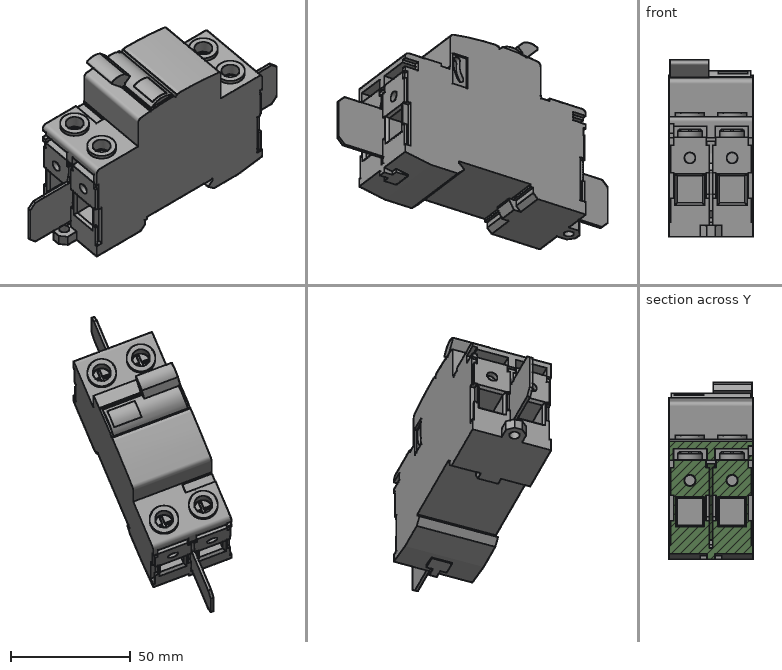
import cadquery as cq
import math


width = 35.2
half_width = width / 2
pole_x = width / 4
pole_centres = (-pole_x, pole_x)
body_y = 45.0
shoulder_z = 50.1
crown_y = 22.5
crown_z = 67.5
crown_edge_z = 65.7
corner_radius = 2.0

rail_z = 6.0
rear_rail_y = 18.1
rear_hook_root_z = 5.2
rear_hook_tip = (15.5, 2.8)
rear_foot_y = 18.8
rear_slope_y = 32.0
rear_slope_z = 2.3
front_rail_y = -17.5
front_foot_y = -18.8
front_foot_chamfer = 2.3

clip_width = 9.1
clip_z = 4.8
clip_hook_y = -15.3
clip_hook_tip_z = 4.0
clip_hook_foot_y = -17.7
lug_length = 7.4
lug_tip_width = 3.4
lug_chamfer_length = 2.5
lug_hole_diameter = 4.3
lug_hole_offset = 3.0
pad_length = 10.0
pad_tip_length = 4.0

rotor_width = 33.4
rotor_y = -8.6
rotor_radius = 7.9
rotor_top_z = 69.4
rotor_z = rotor_top_z - rotor_radius
rear_groove = (-1.3, -2.1, -3.5)
rear_groove_lip = (0.1, 67.1)
front_groove = (-14.5, -15.7, -16.1)
groove_floor_z = 66.2
lever_x = (-17.2, -1.0)
lever_root_front = (-14.0, 64.6)
lever_root_rear = (-14.0, 67.8)
lever_rear = (-11.4, 70.4)
lever_top_rear = (-14.2, 73.2)
lever_crown = (-17.4, 74.0)
lever_top_front = (-20.6, 73.2)
lever_nose = (-21.3, 72.5)
lever_front = (-21.0, 71.7)
label_x = (3.0, 15.3)
label_y = (-12.7, -5.0)
label_depth = 0.1

screw_y = 35.0
collar_radius = 6.0
collar_height = 1.6
bore_radius = 3.8
well_z = (41.5, 46.1)
well_inner_x = 1.7
side_margin = 2.0
well_outer_x = half_width - side_margin
well_back_y = 29.5
screw_head_radius = 5.1
screw_head_height = 3.4
screw_head_chamfer = 0.8
cross_width = 1.1
cross_depth = 1.3

notch_z = (43.3, 47.3)
notch_length = 6.4
marker_y = (22.8, 27.0)
marker_width = 13.4
marker_depth = 1.2
panel_y = (14.0, 21.3)
panel_z = (42.3, 57.0)
panel_depth = 1.0
slot_centre = (7.5, 52.7)
slot_radius = 11.3
slot_width = 3.0
slot_angles = (-34, 11)
slot_depth = 2.7

entry_z = (14.2, 25.5)
entry_width = 10.6
entry_bevel = 1.0
entry_bevel_depth = 1.3
entry_depth = 13.4
plate_hole_diameter = 4.5
plate_hole_z = 33.0
plate_hole_depth = 2.4

groove_width = 1.3
flank_groove_width = 0.8
wide_groove_width = 2 * side_margin
lip_thickness = 1.2
wide_groove_depth = 2.8
lower_lip_z = 16.2
plate_z = 26.7
head_z = 38.3
groove_top_z = 41.3

barrier_tip_y = 67.0
barrier_z = (8.0, 30.7)
barrier_chamfer = 2.8
barrier_ramp_length = 0.8
barrier_ramp_z = 34.7
barrier_head_z = 39.9
barrier_head_width = 3.5
barrier_flange_z = 17.8


def block(x, y, z):
    """Box between the two limits given on each axis."""
    size = [abs(limits[1] - limits[0]) for limits in (x, y, z)]
    corner = (min(x), min(y), min(z))
    return cq.Workplane("XY").box(*size, centered=False).translate(corner)


def across(span):
    """Limits of a span centred on X = 0."""
    return (-span / 2, span / 2)


def prism_x(points, x):
    """Prism with a closed (Y, Z) outline between two X limits."""
    return cq.Workplane("YZ", origin=(min(x), 0, 0)).polyline(points).close().extrude(max(x) - min(x))


def upright_cylinder(x, y, radius, z):
    return cq.Workplane("XY", origin=(x, y, z[0])).circle(radius).extrude(z[1] - z[0])


def both_ends(front):
    """Front-end shape together with its mirror image at the rear end."""
    return front.union(front.mirror("XZ"))


def make_shell():
    """Side profile with stepped shoulders, a crowned top and the rail recess."""
    shell = (
        cq.Workplane("YZ", origin=(-half_width, 0, 0))
        .moveTo(body_y, rear_slope_z)
        .lineTo(body_y, shoulder_z)
        .lineTo(crown_y, shoulder_z)
        .lineTo(crown_y, crown_edge_z)
        .threePointArc((0, crown_z), (-crown_y, crown_edge_z))
        .lineTo(-crown_y, shoulder_z)
        .lineTo(-body_y, shoulder_z)
        .lineTo(-body_y, 0)
        .lineTo(front_foot_y - front_foot_chamfer, 0)
        .lineTo(front_foot_y, front_foot_chamfer)
        .lineTo(front_foot_y, clip_z)
        .lineTo(front_rail_y, clip_z)
        .lineTo(front_rail_y, rail_z)
        .lineTo(rear_rail_y, rail_z)
        .lineTo(rear_rail_y, rear_hook_root_z)
        .lineTo(*rear_hook_tip)
        .lineTo(rear_foot_y, 0)
        .lineTo(rear_slope_y, 0)
        .close()
        .extrude(width)
    )
    reach = corner_radius / 2
    for y, z in ((body_y, shoulder_z), (crown_y, crown_edge_z)):
        for side in (-1, 1):
            corner = cq.selectors.BoxSelector(
                (-half_width, side * y - reach, z - reach),
                (half_width, side * y + reach, z + reach),
            )
            shell = shell.edges("|X").edges(corner).fillet(corner_radius)
    return shell


def make_crown_grooves():
    """V-shaped grooves along the rear and front of the rotor, the rear one with a sloping lip."""
    grooves = cq.Workplane("XY")
    for rear, bottom, front in (rear_groove, front_groove):
        points = [(rear, crown_z), (bottom, groove_floor_z), (front, crown_z)]
        grooves = grooves.union(prism_x(points, across(width)))
    lip_y, lip_foot_z = rear_groove_lip
    lip_points = [(lip_y, crown_z), (rear_groove[0], lip_foot_z), (rear_groove[1], crown_z)]
    return grooves.union(prism_x(lip_points, across(width)))


def make_clip():
    """Hook under the rail recess, pull lug at the front and stepped pad at the rear."""
    hook = prism_x(
        [
            (front_foot_y - front_foot_chamfer, 0),
            (clip_hook_foot_y, 0),
            (clip_hook_y, clip_hook_tip_z),
            (clip_hook_y, clip_z),
            (front_foot_y - front_foot_chamfer, clip_z),
        ],
        across(clip_width),
    )
    lug_front_y = -body_y - lug_length
    lug = (
        cq.Workplane("XY")
        .moveTo(-clip_width / 2, -body_y)
        .lineTo(-clip_width / 2, lug_front_y + lug_chamfer_length)
        .lineTo(-lug_tip_width / 2, lug_front_y)
        .lineTo(lug_tip_width / 2, lug_front_y)
        .lineTo(clip_width / 2, lug_front_y + lug_chamfer_length)
        .lineTo(clip_width / 2, -body_y)
        .close()
        .extrude(clip_z)
        .cut(upright_cylinder(0, -body_y - lug_hole_offset, lug_hole_diameter / 2, (0, clip_z)))
    )
    step_y = body_y - pad_tip_length
    pad_body = block(across(clip_width), (body_y - pad_length, step_y), (0, rear_slope_z))
    pad_tip = block(across(lug_tip_width), (step_y, body_y), (0, rear_slope_z))
    return hook.union(lug).union(pad_body).union(pad_tip)


def rotor_cylinder(radius, x):
    return (
        cq.Workplane("YZ", origin=(min(x), 0, 0))
        .center(rotor_y, rotor_z)
        .circle(radius)
        .extrude(max(x) - min(x))
    )


def make_rotor():
    """Rotor rising out of the crown, with a shallow label panel let into its surface."""
    rotor = rotor_cylinder(rotor_radius, across(rotor_width))
    panel = block(label_x, label_y, (rotor_z, rotor_top_z))
    panel = panel.cut(rotor_cylinder(rotor_radius - label_depth, label_x))
    return rotor.cut(panel)


def make_lever():
    """Lever leaning toward the front at 45 degrees, rooted in the rotor."""
    return (
        cq.Workplane("YZ", origin=(lever_x[0], 0, 0))
        .moveTo(*lever_root_front)
        .lineTo(*lever_root_rear)
        .lineTo(*lever_rear)
        .lineTo(*lever_top_rear)
        .threePointArc(lever_crown, lever_top_front)
        .threePointArc(lever_nose, lever_front)
        .close()
        .extrude(lever_x[1] - lever_x[0])
    )


def make_collars():
    """Raised collar around each screw well of the front end."""
    collars = cq.Workplane("XY")
    for x in pole_centres:
        collars = collars.add(
            upright_cylinder(x, -screw_y, collar_radius, (shoulder_z, shoulder_z + collar_height))
        )
    return collars.combine()


def make_screw_wells():
    """Front window and access bore of each pole at the front end."""
    wells = cq.Workplane("XY")
    for x in pole_centres:
        side = math.copysign(1, x)
        window = block((side * well_inner_x, side * well_outer_x), (-body_y, -well_back_y), well_z)
        bore = upright_cylinder(x, -screw_y, bore_radius, (well_z[0], shoulder_z + collar_height))
        wells = wells.union(window).union(bore)
    return wells


def make_screw_head(x):
    """Chamfered screw head with a cross slot, standing on the floor of its well."""
    top_z = well_z[0] + screw_head_height
    head = upright_cylinder(x, -screw_y, screw_head_radius, (well_z[0], top_z))
    head = head.faces(">Z").chamfer(screw_head_chamfer)
    cross = (
        cq.Workplane("XY", origin=(x, -screw_y, top_z))
        .rect(2 * bore_radius, cross_width)
        .extrude(-cross_depth)
        .union(
            cq.Workplane("XY", origin=(x, -screw_y, top_z))
            .rect(cross_width, 2 * bore_radius)
            .extrude(-cross_depth)
        )
    )
    return head.cut(cross)


def make_end_pockets():
    """Flank notch and shoulder marker pocket of the front end, both open to -X."""
    notch = block((-half_width, side_margin - half_width), (-body_y, notch_length - body_y), notch_z)
    marker = block(
        (-half_width, marker_width - half_width),
        (-marker_y[1], -marker_y[0]),
        (shoulder_z - marker_depth, shoulder_z),
    )
    return notch.union(marker)


def make_wire_entry(x):
    """Bevelled rectangular wire entry and the small round hole in the plate above it."""
    height = entry_z[1] - entry_z[0]
    middle_z = sum(entry_z) / 2
    face = cq.Workplane("XZ", origin=(x, -body_y, middle_z))
    entry = face.rect(entry_width, height).extrude(-entry_depth)
    bevel = (
        face.rect(entry_width + 2 * entry_bevel, height + 2 * entry_bevel)
        .workplane(offset=-entry_bevel_depth)
        .rect(entry_width, height)
        .loft(combine=True)
    )
    hole = (
        cq.Workplane("XZ", origin=(x, -body_y, plate_hole_z))
        .circle(plate_hole_diameter / 2)
        .extrude(-plate_hole_depth)
    )
    return entry.union(bevel).union(hole)


def make_barrier_groove(x, slit_width, bottom_z):
    """Stepped groove for a barrier: a slit with a wide head, and a wide lower part behind its lips."""
    slit = (x - slit_width / 2, x + slit_width / 2)
    wide = (x - wide_groove_width / 2, x + wide_groove_width / 2)
    lip_y = lip_thickness - body_y
    back_y = wide_groove_depth - body_y
    upper_slit = block(slit, (-body_y, lip_y), (bottom_z, groove_top_z))
    head = block(wide, (-body_y, lip_y), (head_z, groove_top_z))
    open_part = block(wide, (-body_y, back_y), (lower_lip_z, plate_z))
    lower_part = block(wide, (lip_y, back_y), (rail_z, lower_lip_z))
    return upper_slit.union(head).union(open_part).union(lower_part)


def make_side_panel():
    """Shallow rectangular recess with a deeper curved slot in the -X flank."""
    panel_x = (-half_width, panel_depth - half_width)
    panel = block(panel_x, panel_y, panel_z)

    def polar(radius, degrees):
        angle = math.radians(degrees)
        return (slot_centre[0] + radius * math.cos(angle), slot_centre[1] + radius * math.sin(angle))

    start, end = slot_angles
    middle = (start + end) / 2
    inner = slot_radius - slot_width / 2
    outer = slot_radius + slot_width / 2
    end_bulge = math.degrees(slot_width / 2 / slot_radius)
    slot = (
        cq.Workplane("YZ", origin=(-half_width, 0, 0))
        .moveTo(*polar(outer, start))
        .threePointArc(polar(outer, middle), polar(outer, end))
        .threePointArc(polar(slot_radius, end + end_bulge), polar(inner, end))
        .threePointArc(polar(inner, middle), polar(inner, start))
        .threePointArc(polar(slot_radius, start - end_bulge), polar(outer, start))
        .close()
        .extrude(panel_depth + slot_depth)
    )
    return panel.union(slot)


def make_housing():
    housing = make_shell().cut(make_crown_grooves())
    housing = housing.union(make_rotor()).union(make_lever()).union(make_clip())
    housing = housing.union(both_ends(make_collars()))
    housing = housing.cut(both_ends(make_screw_wells()))
    housing = housing.cut(both_ends(make_end_pockets()))
    for x in pole_centres:
        housing = housing.union(both_ends(make_screw_head(x)))
        housing = housing.cut(both_ends(make_wire_entry(x)))
    housing = housing.cut(both_ends(make_barrier_groove(0, groove_width, clip_z)))
    for x in (-half_width, half_width):
        housing = housing.cut(both_ends(make_barrier_groove(x, 2 * flank_groove_width, rail_z)))
    return housing.cut(make_side_panel())


def make_front_barrier():
    """Thin plate with clipped outer corners, a tongue, a head and a flange inside the groove."""
    lip_y = lip_thickness - body_y
    back_y = wide_groove_depth - body_y
    bottom_z, top_z = barrier_z
    plate = prism_x(
        [
            (lip_y, bottom_z),
            (barrier_chamfer - barrier_tip_y, bottom_z),
            (-barrier_tip_y, bottom_z + barrier_chamfer),
            (-barrier_tip_y, top_z - barrier_chamfer),
            (barrier_chamfer - barrier_tip_y, top_z),
            (-body_y - barrier_ramp_length, top_z),
            (-body_y, barrier_ramp_z),
            (-body_y, barrier_head_z),
            (lip_y, barrier_head_z),
        ],
        across(groove_width),
    )
    head = block(across(barrier_head_width), (-body_y, lip_y), (head_z, barrier_head_z))
    flange = block(across(wide_groove_width), (lip_y, back_y), (barrier_flange_z, plate_z))
    return plate.union(head).union(flange)


housing = make_housing().solids()
barriers = []
for turn in (0, 180):
    barriers.append(make_front_barrier().rotate((0, 0, 0), (0, 0, 1), turn).solids())

result = cq.Compound.makeCompound([housing.val(), *[barrier.val() for barrier in barriers]])